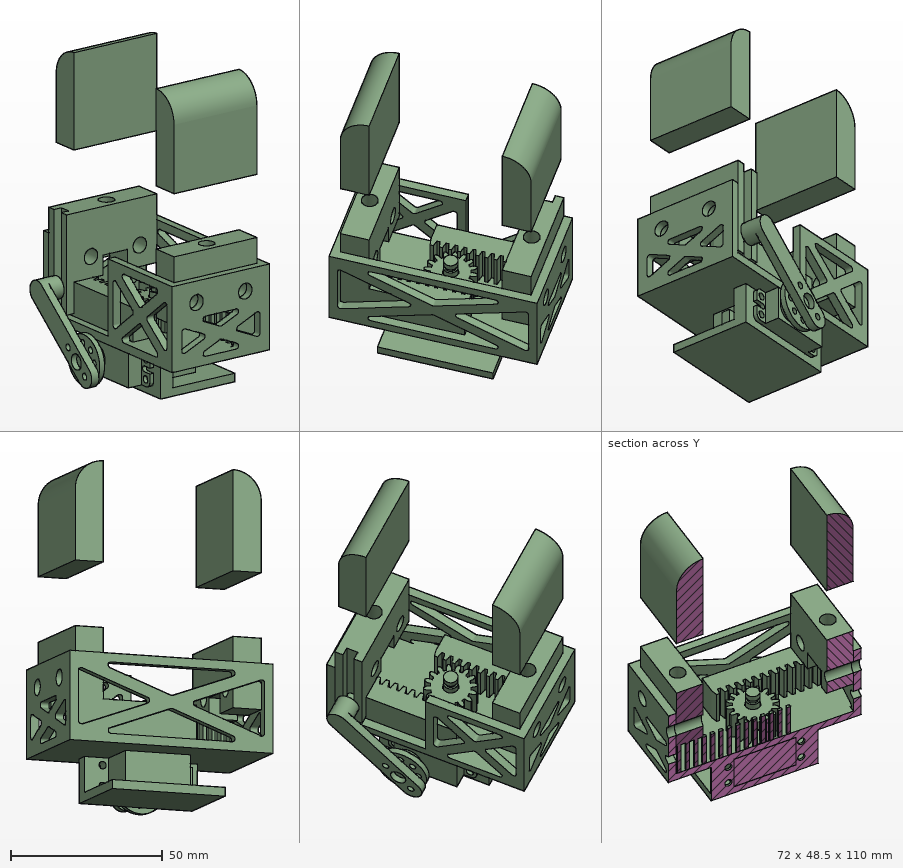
import cadquery as cq
import math

WALL = 3
HOUSING_LENGTH = 72
HOUSING_WIDTH = 40
HOUSING_HEIGHT = 30
PINION_PLAY = 0.25

inner_x = HOUSING_LENGTH / 2 - WALL
inner_y = HOUSING_WIDTH / 2 - WALL
front_y = -HOUSING_WIDTH / 2

LATTICE_BAR = 4
LATTICE_ROUND = 1
lattice_top = HOUSING_HEIGHT - WALL
SIDE_LATTICE_WIDTH = 32
SIDE_LATTICE_TOP = 17

CROSS_HOLE_DIAMETER = 5.5
CROSS_HOLE_SPACING = 20
CROSS_HOLE_Z = 22.5

MODULE = 1
PINION_TEETH = 16
DEDENDUM = 1.25
PRESSURE_ANGLE = math.radians(20)
PINION_ANGLE = 6.8
PINION_THICKNESS = 10
POST_DIAMETER = 4.8
POST_TOP = 15
NECK_DIAMETER = 3.5
NECK_TOP = 16.5
CAP_DIAMETER = 4.8
CAP_TOP = 18.5

BAR_TOP = 15
BAR_END = 10
RACK_ROOT_Y = 10
RACK_TOOTH_DEPTH = 2.3
RACK_TIP_WIDTH = 1.1
JAW_THICKNESS = 10
JAW_TOP = 39
JAW_NOTCH_WIDTH = 10
JAW_NOTCH_TOP = 22
SOCKET_DIAMETER = 5.5
SOCKET_DEPTH = 10
GUIDE_BOTTOM = 4
SLOT_WIDTH = 4

TIP_BOTTOM = 61
TIP_TOP = 95

SERVO_LENGTH = 23
SERVO_HEIGHT = 12
SERVO_BACK_Y = 7.5
SERVO_AXIS_X = -6
SERVO_BOSS_DIAMETER = 9
SERVO_BOSS_LENGTH = 1
SHAFT_DIAMETER = 5
SHAFT_END_IN_ARM = 1
TAB_LENGTH = 32
TAB_THICKNESS = 1.5
TAB_ROUND = 2
TAB_SLOT_WIDTH = 2
TAB_SLOT_INNER_X = 12
SCREW_DIAMETER = 2.5
SCREW_SPACING_X = 27.2
SCREW_SPACING_Z = 7
CABLE_WIDTH = 3.2
CABLE_FROM_BACK = 6
CABLE_HEIGHT = 6
CABLE_LENGTH = 3
servo_axis_z = -SERVO_HEIGHT / 2

BRACKET_LENGTH = 40
BRACKET_FRONT_Y = -13
BRACKET_PLATE = 5
BRACKET_BACK_Y = 17.5

HORN_DIAMETER = 18
HORN_THICKNESS = 2
HORN_BOSS_DIAMETER = 7
HORN_BOSS_LENGTH = 2.5
HORN_HOLES = 8
HORN_HOLE_DIAMETER = 2.2
HORN_HOLE_RADIUS = 6
ARM_ANGLE = 140
ARM_WIDTH = 8
ARM_THICKNESS = 3
ARM_BORE = 5.5
ARM_SCREW_DIAMETER = 2.3
CRANK_PIN_DIAMETER = 3.5
CRANK_SHOULDER_GAP = 0.3

slot_x = -inner_x + JAW_THICKNESS / 2
horn_boss_y = front_y - SERVO_BOSS_LENGTH
horn_back_y = horn_boss_y - HORN_BOSS_LENGTH
arm_back_y = horn_back_y - HORN_THICKNESS
arm_front_y = arm_back_y - ARM_THICKNESS


def block(x, y, z):
    """Box between the two limits given for each axis."""
    size = [high - low for low, high in (x, y, z)]
    return cq.Workplane("XY").box(*size, centered=False).translate((x[0], y[0], z[0]))


def y_cylinder(x, z, diameter, y_start, y_end):
    """Cylinder along Y between two Y positions."""
    plane = cq.Plane(origin=(x, y_start, z), xDir=(1, 0, 0), normal=(0, 1, 0))
    return cq.Workplane(plane).circle(diameter / 2).extrude(y_end - y_start)


def lattice(plane, width, height, depth):
    """Four rounded triangles that leave an X of bars, centred on the plane and cut both ways."""
    window = cq.Workplane(plane).rect(width, height).extrude(depth, both=True)
    diagonal = math.hypot(width, height)
    slope = math.degrees(math.atan2(height, width))
    for angle in (slope, -slope):
        bar = cq.Workplane(plane).transformed(rotate=(0, 0, angle))
        window = window.cut(bar.rect(diagonal + height, LATTICE_BAR).extrude(depth, both=True))
    through = cq.selectors.ParallelDirSelector(plane.zDir)
    return window.edges(through).fillet(LATTICE_ROUND)


def cross_holes():
    points = [(-CROSS_HOLE_SPACING / 2, CROSS_HOLE_Z), (CROSS_HOLE_SPACING / 2, CROSS_HOLE_Z)]
    holes = cq.Workplane("YZ").pushPoints(points).circle(CROSS_HOLE_DIAMETER / 2)
    return holes.extrude(HOUSING_LENGTH, both=True)


def screw_holes(y_start, y_end):
    """Four servo screw holes."""
    holes = cq.Workplane("XY")
    for x in (-SCREW_SPACING_X / 2, SCREW_SPACING_X / 2):
        for z in (-SCREW_SPACING_Z / 2, SCREW_SPACING_Z / 2):
            holes = holes.add(y_cylinder(x, servo_axis_z + z, SCREW_DIAMETER, y_start, y_end))
    return holes.combine()


def make_housing():
    body = block(
        (-HOUSING_LENGTH / 2, HOUSING_LENGTH / 2), (front_y, -front_y), (0, HOUSING_HEIGHT)
    )
    body = body.cut(block((-inner_x, inner_x), (-inner_y, inner_y), (WALL, HOUSING_HEIGHT)))
    body = body.cut(block((-inner_x, 0), (front_y, -inner_y), (WALL, HOUSING_HEIGHT)))

    lattice_height = lattice_top - WALL
    lattice_z = (lattice_top + WALL) / 2
    front_lattice_width = inner_x - WALL
    front = cq.Plane((WALL + front_lattice_width / 2, front_y, lattice_z), (1, 0, 0), (0, -1, 0))
    back = cq.Plane((0, -front_y, lattice_z), (1, 0, 0), (0, -1, 0))
    body = body.cut(lattice(front, front_lattice_width, lattice_height, WALL))
    body = body.cut(lattice(back, 2 * inner_x, lattice_height, WALL))
    side = cq.Plane((0, 0, (SIDE_LATTICE_TOP + WALL) / 2), (0, 1, 0), (1, 0, 0))
    body = body.cut(lattice(side, SIDE_LATTICE_WIDTH, SIDE_LATTICE_TOP - WALL, HOUSING_LENGTH))
    body = body.cut(cross_holes())

    post = cq.Workplane("XY").circle(POST_DIAMETER / 2).extrude(POST_TOP)
    neck = cq.Workplane("XY").circle(NECK_DIAMETER / 2).extrude(NECK_TOP)
    cap = cq.Workplane("XY").workplane(offset=NECK_TOP)
    cap = cap.circle(CAP_DIAMETER / 2).extrude(CAP_TOP - NECK_TOP)
    body = body.union(post).union(neck).union(cap)

    bracket_x = (-BRACKET_LENGTH / 2, BRACKET_LENGTH / 2)
    bracket_bottom = -SERVO_HEIGHT - WALL
    plate_y = (BRACKET_FRONT_Y, BRACKET_FRONT_Y + BRACKET_PLATE)
    plate = block(bracket_x, plate_y, (bracket_bottom, 0))
    servo_x = (-SERVO_LENGTH / 2, SERVO_LENGTH / 2)
    plate = plate.cut(block(servo_x, plate_y, (-SERVO_HEIGHT, 0)))
    plate = plate.cut(screw_holes(*plate_y))
    base = block(bracket_x, (BRACKET_FRONT_Y, BRACKET_BACK_Y), (bracket_bottom, -SERVO_HEIGHT))
    return body.union(plate).union(base)


def make_pinion():
    pitch_radius = MODULE * PINION_TEETH / 2
    base_radius = pitch_radius * math.cos(PRESSURE_ANGLE)
    tip_radius = pitch_radius + MODULE
    root_radius = pitch_radius - DEDENDUM * MODULE
    involute = math.tan(PRESSURE_ANGLE) - PRESSURE_ANGLE
    base_half_angle = math.pi / (2 * PINION_TEETH) + involute

    def flank(radius, side):
        pressure = math.acos(base_radius / radius)
        angle = side * (base_half_angle - math.tan(pressure) + pressure)
        return (radius * math.cos(angle), radius * math.sin(angle))

    flank_steps = 4
    radii = [
        base_radius + (tip_radius - base_radius) * step / flank_steps
        for step in range(flank_steps + 1)
    ]
    foot_x = root_radius * math.cos(base_half_angle) - MODULE / 2
    lower = [flank(radius, -1) for radius in radii]
    upper = [flank(radius, 1) for radius in reversed(radii)]
    tooth = (
        cq.Workplane("XY")
        .moveTo(foot_x, lower[0][1])
        .lineTo(*lower[0])
        .spline(lower[1:], includeCurrent=True)
        .threePointArc((tip_radius, 0), upper[0])
        .spline(upper[1:], includeCurrent=True)
        .lineTo(foot_x, upper[-1][1])
        .close()
        .extrude(PINION_THICKNESS)
    )
    pinion = cq.Workplane("XY").circle(root_radius).extrude(PINION_THICKNESS)
    for number in range(PINION_TEETH):
        angle = PINION_ANGLE + number * 360 / PINION_TEETH
        pinion = pinion.union(tooth.rotate((0, 0, 0), (0, 0, 1), angle))
    bore = cq.Workplane("XY").circle(POST_DIAMETER / 2 + PINION_PLAY).extrude(PINION_THICKNESS)
    return pinion.cut(bore).translate((0, 0, WALL))


def rack_bar():
    """Bar along the front wall with its teeth toward the pinion."""
    bar = block((-inner_x, BAR_END), (-inner_y, -RACK_ROOT_Y), (WALL, BAR_TOP))
    pitch = math.pi * MODULE
    whole_pitches, root_width = divmod(inner_x + BAR_END, pitch)
    tip_y = -RACK_ROOT_Y + RACK_TOOTH_DEPTH
    for number in range(int(whole_pitches) + 1):
        x = BAR_END - root_width / 2 - number * pitch
        tooth = cq.Workplane("XY").workplane(offset=WALL).polyline(
            [
                (x - root_width / 2, -RACK_ROOT_Y),
                (x + root_width / 2, -RACK_ROOT_Y),
                (x + RACK_TIP_WIDTH / 2, tip_y),
                (x - RACK_TIP_WIDTH / 2, tip_y),
            ]
        )
        tooth = tooth.close().extrude(BAR_TOP - WALL)
        bar = bar.union(tooth)
    return bar


def plain_rack():
    """Rack and upright jaw, placed on the left."""
    jaw_x = (-inner_x, -inner_x + JAW_THICKNESS)
    jaw = block(jaw_x, (-inner_y, inner_y), (BAR_TOP, JAW_TOP))
    notch_y = (-JAW_NOTCH_WIDTH / 2, JAW_NOTCH_WIDTH / 2)
    jaw = jaw.cut(block(jaw_x, notch_y, (BAR_TOP, JAW_NOTCH_TOP)))
    jaw = jaw.cut(cross_holes())
    socket = cq.Workplane("XY").workplane(offset=JAW_TOP).center(slot_x, 0)
    jaw = jaw.cut(socket.circle(SOCKET_DIAMETER / 2).extrude(-SOCKET_DEPTH))
    return jaw.union(rack_bar())


def make_driven_rack():
    """Left rack, with a slotted guide in the housing opening for the crank pin."""
    guide_y = (front_y, -inner_y)
    guide_z = (GUIDE_BOTTOM, JAW_TOP)
    guide = block((-inner_x, -inner_x + JAW_THICKNESS), guide_y, guide_z)
    slot = block((slot_x - SLOT_WIDTH / 2, slot_x + SLOT_WIDTH / 2), guide_y, guide_z)
    return plain_rack().union(guide.cut(slot))


def make_opposite_rack():
    """Right rack: the plain rack turned half a turn about the pinion axis."""
    return plain_rack().rotate((0, 0, 0), (0, 0, 1), 180)


def make_finger_tip(side):
    """Finger tip above a jaw; its outer top edge is a quarter round."""
    tip_x = (inner_x - JAW_THICKNESS, inner_x)
    tip = block(tip_x, (-inner_y, inner_y), (TIP_BOTTOM, TIP_TOP))
    base = block(tip_x, (-inner_y, inner_y), (TIP_BOTTOM, TIP_TOP - JAW_THICKNESS))
    crown = y_cylinder(
        tip_x[0], TIP_TOP - JAW_THICKNESS, 2 * JAW_THICKNESS, -inner_y, inner_y
    )
    tip = tip.intersect(crown.union(base))
    return tip if side > 0 else tip.mirror("YZ")


def make_servo():
    body = block(
        (-SERVO_LENGTH / 2, SERVO_LENGTH / 2), (front_y, SERVO_BACK_Y), (-SERVO_HEIGHT, 0)
    )
    tab_y = (BRACKET_FRONT_Y - TAB_THICKNESS, BRACKET_FRONT_Y)
    tabs = block((-TAB_LENGTH / 2, TAB_LENGTH / 2), tab_y, (-SERVO_HEIGHT, 0))
    tabs = tabs.edges("|Y").fillet(TAB_ROUND).cut(screw_holes(*tab_y))
    for side in (-1, 1):
        slot_end = side * (TAB_SLOT_INNER_X + TAB_SLOT_WIDTH / 2)
        slot_limits = sorted((slot_end, side * TAB_LENGTH / 2))
        slot_z = (servo_axis_z - TAB_SLOT_WIDTH / 2, servo_axis_z + TAB_SLOT_WIDTH / 2)
        tabs = tabs.cut(block(slot_limits, tab_y, slot_z))
        tabs = tabs.cut(y_cylinder(slot_end, servo_axis_z, TAB_SLOT_WIDTH, *tab_y))
    axis = (SERVO_AXIS_X, servo_axis_z)
    boss = y_cylinder(*axis, SERVO_BOSS_DIAMETER, front_y, horn_boss_y)
    shaft = y_cylinder(*axis, SHAFT_DIAMETER, horn_boss_y, arm_back_y - SHAFT_END_IN_ARM)
    cable_back_y = SERVO_BACK_Y - CABLE_FROM_BACK
    cable = block(
        (-SERVO_LENGTH / 2 - CABLE_LENGTH, -SERVO_LENGTH / 2),
        (cable_back_y - CABLE_WIDTH, cable_back_y),
        (servo_axis_z - CABLE_HEIGHT / 2, servo_axis_z + CABLE_HEIGHT / 2),
    )
    return body.union(tabs).union(boss).union(shaft).union(cable)


def about_servo_axis(radius, angle):
    """X and Z of a point at a polar position around the servo axis."""
    turn = math.radians(angle)
    return (SERVO_AXIS_X + radius * math.cos(turn), servo_axis_z + radius * math.sin(turn))


def make_horn():
    axis = (SERVO_AXIS_X, servo_axis_z)
    horn = y_cylinder(*axis, HORN_DIAMETER, horn_back_y, arm_back_y)
    horn = horn.union(y_cylinder(*axis, HORN_BOSS_DIAMETER, horn_boss_y, horn_back_y))
    horn = horn.cut(y_cylinder(*axis, SHAFT_DIAMETER, horn_boss_y, arm_back_y))
    for number in range(HORN_HOLES):
        x, z = about_servo_axis(HORN_HOLE_RADIUS, ARM_ANGLE + number * 360 / HORN_HOLES)
        horn = horn.cut(y_cylinder(x, z, HORN_HOLE_DIAMETER, horn_back_y, arm_back_y))
    return horn


def make_arm():
    crank_length = (slot_x - SERVO_AXIS_X) / math.cos(math.radians(ARM_ANGLE))
    crank = about_servo_axis(crank_length, ARM_ANGLE)
    end_screw = about_servo_axis(-HORN_HOLE_RADIUS, ARM_ANGLE)
    inner_screw = about_servo_axis(HORN_HOLE_RADIUS, ARM_ANGLE)
    span = crank_length + HORN_HOLE_RADIUS
    middle = about_servo_axis((crank_length - HORN_HOLE_RADIUS) / 2, ARM_ANGLE)
    plane = cq.Plane((middle[0], arm_back_y, middle[1]), (1, 0, 0), (0, -1, 0))
    link = cq.Workplane(plane).transformed(rotate=(0, 0, ARM_ANGLE)).rect(span, ARM_WIDTH)
    link = link.extrude(ARM_THICKNESS)

    shoulder_y = front_y - CRANK_SHOULDER_GAP
    arm = y_cylinder(*crank, ARM_WIDTH, arm_front_y, shoulder_y).union(link)
    arm = arm.union(y_cylinder(*end_screw, ARM_WIDTH, arm_front_y, arm_back_y))
    arm = arm.union(y_cylinder(*crank, CRANK_PIN_DIAMETER, shoulder_y, -inner_y))
    arm = arm.cut(y_cylinder(SERVO_AXIS_X, servo_axis_z, ARM_BORE, arm_front_y, arm_back_y))
    for screw in (end_screw, inner_screw):
        arm = arm.cut(y_cylinder(*screw, ARM_SCREW_DIAMETER, arm_front_y, arm_back_y))
    return arm


housing = make_housing()
pinion = make_pinion()
driven_rack = make_driven_rack()
opposite_rack = make_opposite_rack()
finger_tips = [make_finger_tip(side) for side in (-1, 1)]
servo = make_servo()
horn = make_horn()
arm = make_arm()

result = cq.Compound.makeCompound(
    [
        housing.val(),
        pinion.val(),
        driven_rack.val(),
        opposite_rack.val(),
        *[tip.val() for tip in finger_tips],
        servo.val(),
        horn.val(),
        arm.val(),
    ]
)